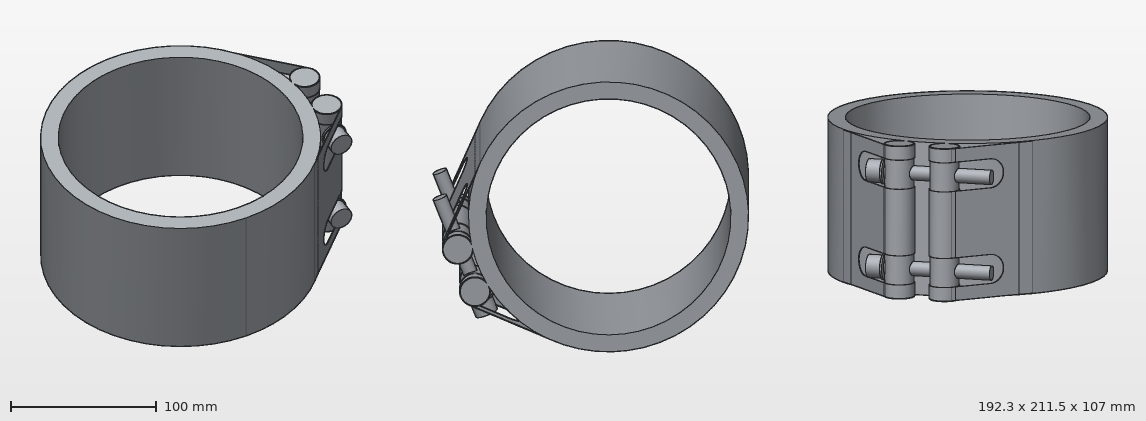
import cadquery as cq
import math

sleeve_diameter = 192.3
bore_diameter = 168.0
height = 107.0
sleeve_radius = sleeve_diameter / 2

strap_thickness = 0.53
strap_inset = 0.5
strap_width = height - 2 * strap_inset
strap_angle = math.radians(45)
pin_diameter = 20.0
pin_radius = pin_diameter / 2
loop_radius = pin_radius + strap_thickness
overall_depth = 211.5
pin_y = overall_depth - sleeve_radius - loop_radius
pin_x = ((sleeve_radius - loop_radius) - pin_y * math.sin(strap_angle)) / math.cos(strap_angle)

slot_width = 20.3
slot_end_y = 83.8

bolt_spacing = 66.8
bolt_levels = [(height - bolt_spacing) / 2, (height + bolt_spacing) / 2]
shank_diameter = 10.0
shank_start_x = -50.1
washer_diameter = 18.0
washer_thickness = 1.5
head_diameter = 16.0
head_end_x = 38.0
washer_start_x = pin_x + pin_radius


def polar(radius, angle, center=(0, 0)):
    return (center[0] + radius * math.cos(angle), center[1] + radius * math.sin(angle))


def make_sleeve():
    return cq.Workplane("XY").circle(sleeve_radius).circle(bore_diameter / 2).extrude(height)


def make_slot(level):
    """Stadium cut through the +X strap, square to it; its upper end clears the pin loop."""
    strap_plane = cq.Plane(
        origin=(0, 0, level),
        xDir=(-math.sin(strap_angle), math.cos(strap_angle), 0),
        normal=(math.cos(strap_angle), math.sin(strap_angle), 0),
    )
    slot_start = (slot_end_y - sleeve_radius * math.sin(strap_angle)) / math.cos(strap_angle)
    pin_distance = pin_y * math.cos(strap_angle) - pin_x * math.sin(strap_angle)
    slot_finish = pin_distance + loop_radius + slot_width
    return (
        cq.Workplane(strap_plane)
        .center((slot_start + slot_finish) / 2, 0)
        .slot2D(slot_finish - slot_start, slot_width)
        .extrude(sleeve_radius + loop_radius)
    )


def make_pin_and_strap():
    """The +X pin with its strap; the -X side is the mirror image."""
    pin_center = (pin_x, pin_y)
    inner_radius = sleeve_radius - strap_thickness
    strap = (
        cq.Workplane("XY", origin=(0, 0, strap_inset))
        .moveTo(*polar(inner_radius, strap_angle))
        .lineTo(*polar(sleeve_radius, strap_angle))
        .lineTo(*polar(loop_radius, strap_angle, pin_center))
        .lineTo(*polar(pin_radius, strap_angle, pin_center))
        .close()
        .extrude(strap_width)
    )
    loop = (
        cq.Workplane("XY", origin=(0, 0, strap_inset))
        .center(*pin_center)
        .circle(loop_radius)
        .extrude(strap_width)
    )
    strap = strap.union(loop)
    for level in bolt_levels:
        strap = strap.cut(make_slot(level))
    pin = cq.Workplane("XY").center(*pin_center).circle(pin_radius).extrude(height)
    return strap.union(pin)


def make_rod(diameter, start_x, end_x, level):
    rod_plane = cq.Plane(origin=(start_x, pin_y, level), xDir=(0, 1, 0), normal=(1, 0, 0))
    return cq.Workplane(rod_plane).circle(diameter / 2).extrude(end_x - start_x)


def make_bolt(level):
    washer_end_x = washer_start_x + washer_thickness
    shank = make_rod(shank_diameter, shank_start_x, washer_end_x, level)
    washer = make_rod(washer_diameter, washer_start_x, washer_end_x, level)
    head = make_rod(head_diameter, washer_end_x, head_end_x, level)
    return shank.union(washer).union(head)


right_side = make_pin_and_strap()
result = make_sleeve().union(right_side).union(right_side.mirror("YZ"))
for bolt_level in bolt_levels:
    result = result.union(make_bolt(bolt_level))